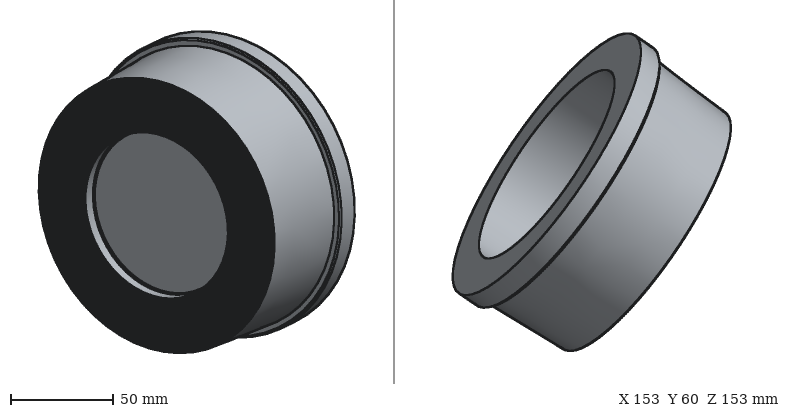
import cadquery as cq


BODY_LENGTH = 60.0
BARREL_FACE_RADIUS = 70.2
BARREL_ROOT_RADIUS = 72.7
FLANGE_RADIUS = 76.5
FLANGE_LENGTH = 12.2
FLANGE_CHAMFER = 0.9
FLANGE_FACE_Y = BODY_LENGTH - FLANGE_LENGTH

BORE_RADIUS = 42.4
BORE_LENGTH = 6.5
LIP_LENGTH = 0.8
SEAT_RADIUS = 41.8
SEAT_Y = BORE_LENGTH + LIP_LENGTH

GROOVE_COUNT = 34
OUTER_GROOVE_RADIUS = 69.3
GROOVE_PITCH = (OUTER_GROOVE_RADIUS - BORE_RADIUS) / GROOVE_COUNT
GROOVE_WIDTH = 0.55
GROOVE_DEPTH = 0.1

DISC_RADIUS = 45.9
DISC_THICKNESS = 6.1
CAVITY_RADIUS = 55.1


def add_grooves(profile):
    """Continue a (Y, radius) profile outwards along the sealing face, through every groove."""
    for number in range(1, GROOVE_COUNT + 1):
        center = BORE_RADIUS + number * GROOVE_PITCH
        profile = profile.lineTo(0, center - GROOVE_WIDTH / 2)
        profile = profile.threePointArc((GROOVE_DEPTH, center), (0, center + GROOVE_WIDTH / 2))
    return profile


def make_housing():
    """Tapered housing with flange, grooved face, bore and cavity, as one turned profile."""
    profile = cq.Workplane("YZ").moveTo(SEAT_Y, SEAT_RADIUS)
    profile = profile.lineTo(BORE_LENGTH, BORE_RADIUS).lineTo(0, BORE_RADIUS)
    profile = add_grooves(profile)
    profile = (
        profile.lineTo(0, BARREL_FACE_RADIUS)
        .lineTo(FLANGE_FACE_Y, BARREL_ROOT_RADIUS)
        .lineTo(FLANGE_FACE_Y, FLANGE_RADIUS - FLANGE_CHAMFER)
        .lineTo(FLANGE_FACE_Y + FLANGE_CHAMFER, FLANGE_RADIUS)
        .lineTo(BODY_LENGTH, FLANGE_RADIUS)
        .lineTo(BODY_LENGTH, CAVITY_RADIUS)
        .lineTo(SEAT_Y, CAVITY_RADIUS)
        .close()
    )
    return profile.revolve(360, (0, 0, 0), (1, 0, 0))


def make_disc():
    """Flat closing disc that rests on the seat at the end of the bore."""
    seat_plane = cq.Workplane("XZ", origin=(0, SEAT_Y, 0))
    return seat_plane.circle(DISC_RADIUS).extrude(-DISC_THICKNESS)


housing = make_housing()
disc = make_disc()

result = cq.Compound.makeCompound([housing.val(), disc.val()])